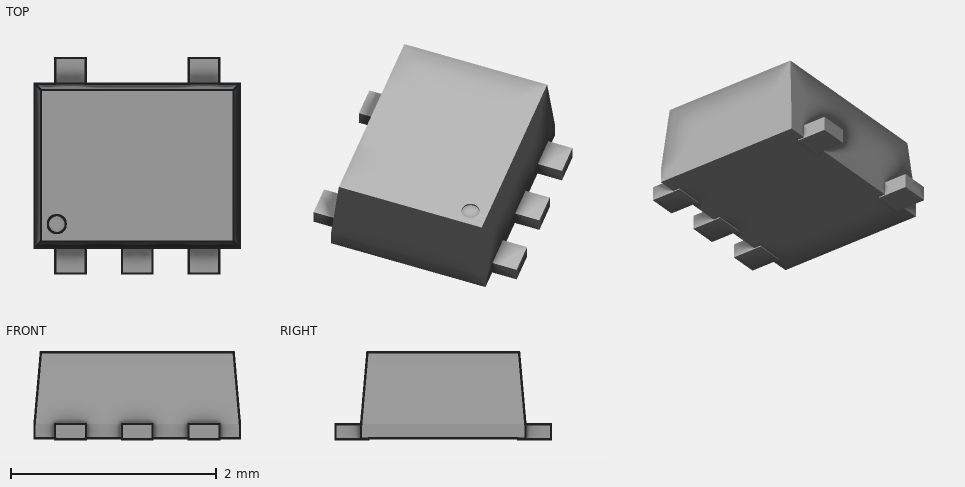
import cadquery as cq

BODY_LENGTH = 2.0
BODY_WIDTH = 1.6
BODY_TOP = 0.85
STANDOFF = 0.01
DRAFT_ANGLE = 5.0

LEAD_SPAN = 2.1
LEAD_LENGTH = 0.325
LEAD_WIDTH = 0.3
LEAD_THICKNESS = 0.15
LEAD_PITCH = 0.65
FRONT_LEAD_SLOTS = (-1, 0, 1)
BACK_LEAD_SLOTS = (-1, 1)

MARK_DIAMETER = 0.175
MARK_DEPTH = 0.02
MARK_X = -0.783
MARK_Y = -0.567

TAPER_HEIGHT = BODY_TOP - LEAD_THICKNESS


def make_body():
    base = (
        cq.Workplane("XY")
        .workplane(offset=STANDOFF)
        .rect(BODY_LENGTH, BODY_WIDTH)
        .extrude(LEAD_THICKNESS - STANDOFF)
    )
    drafted_top = (
        cq.Workplane("XY")
        .workplane(offset=LEAD_THICKNESS)
        .rect(BODY_LENGTH, BODY_WIDTH)
        .extrude(TAPER_HEIGHT, taper=DRAFT_ANGLE)
    )
    return base.union(drafted_top)


def make_leads(side, slots):
    """Row of leads on one long side; side is -1 for -Y and +1 for +Y."""
    centre_y = side * (LEAD_SPAN - LEAD_LENGTH) / 2
    centres = [(slot * LEAD_PITCH, centre_y) for slot in slots]
    return (
        cq.Workplane("XY")
        .pushPoints(centres)
        .rect(LEAD_WIDTH, LEAD_LENGTH)
        .extrude(LEAD_THICKNESS)
    )


def make_pin_one_mark():
    return (
        cq.Workplane("XY")
        .workplane(offset=BODY_TOP - MARK_DEPTH)
        .center(MARK_X, MARK_Y)
        .circle(MARK_DIAMETER / 2)
        .extrude(MARK_DEPTH)
    )


body = make_body().cut(make_pin_one_mark())
result = body.union(make_leads(-1, FRONT_LEAD_SLOTS)).union(make_leads(1, BACK_LEAD_SLOTS))